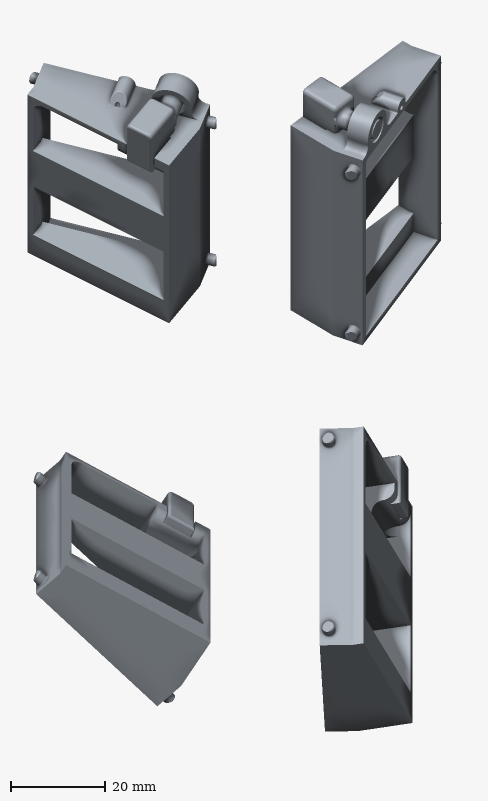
import cadquery as cq
import math

tilt = 15.0
cos_t = math.cos(math.radians(tilt))
sin_t = math.sin(math.radians(tilt))
frame_height = 52.9
front_left = 1.8
front_right = 37.65
rear_left_y = 9.2
rear_length = 37.1
wall = 1.45
slanted_wall = 1.6

recess_depth = 5.7
window_spans = [(6.85, 23.05), (34.9, frame_height - wall)]
left_corner_radius = 2.9
right_corner_radius = 0.95

housing_left = 24.6
housing_back = 11.8
housing_back_radius = 0.7
housing_lip = 1.2
housing_radius = 2.55
rib_back = 7.15
slot_left = 26.9
slot_right = 33.9
slot_floor = 47.9
slot_depth = 6.6

pivot_u = 30.15
pivot_z = 56.05
lug_radius = 4.5
lug_foot_radius = 1.95
lug_depth = 4.95
bore_diameter = 6.0
catch_u = 18.6
catch_radius = 1.9
catch_rise = 0.55
catch_foot_radius = 0.4
catch_length = 6.8
catch_rim_radius = 0.3
catch_hole_diameter = 1.2
catch_hole_rise = 0.2

pin_diameter = 2.6
pin_length = 2.25
pin_root_radius = 0.35
pin_tip_chamfer = 0.25
pin_inset = 1.95
pin_end_margin = 3.45
pin_ramp_drop = 0.8
pin_ramp_start = 0.35

lever_left = 27.1
lever_right = 33.55
lever_front = -0.55
lever_back = 9.15
lever_leg_back = 6.35
lever_bottom = 47.95
lever_top = 60.05
lever_edge_radius = 1.0
lever_front_radius = 0.6
shaft_diameter = 4.5
flare_radius = 0.85
shaft_length = 10.3

ceiling = frame_height - wall
window_left = front_left + wall
window_right = front_right - wall
rear_plane = cq.Plane(origin=(0, rear_left_y, 0), xDir=(cos_t, sin_t, 0), normal=(sin_t, -cos_t, 0))


def rear_point(along, depth):
    """XY point at a distance along the rear face and a depth in front of it."""
    return (along * cos_t + depth * sin_t, rear_left_y + along * sin_t - depth * cos_t)


def depth_at_x(along, x):
    """Depth at which the line square to the rear face at `along` reaches X = x."""
    return (x - along * cos_t) / sin_t


def wedge(left_x, right_x, left_along, right_along, rear_depth, bottom, top):
    """Prism with a plan like the frame's, ending at a depth in front of the rear face."""
    outline = [
        (left_x, 0),
        (right_x, 0),
        rear_point(right_along, depth_at_x(right_along, right_x)),
        rear_point(right_along, rear_depth),
        rear_point(left_along, rear_depth),
        rear_point(left_along, depth_at_x(left_along, left_x)),
    ]
    return cq.Workplane("XY").workplane(offset=bottom).polyline(outline).close().extrude(top - bottom)


def box(x_range, y_range, z_range):
    """Box given by its limits along each axis."""
    size = [high - low for low, high in (x_range, y_range, z_range)]
    return cq.Workplane("XY").box(*size, centered=False).translate((x_range[0], y_range[0], z_range[0]))


def module_recess():
    """Full-height recess in the rear face with two rounded top corners."""
    left = slanted_wall
    right = rear_length - slanted_wall
    return (
        cq.Workplane(rear_plane)
        .moveTo(left, wall)
        .lineTo(right, wall)
        .lineTo(right, ceiling - right_corner_radius)
        .radiusArc((right - right_corner_radius, ceiling), -right_corner_radius)
        .lineTo(left + left_corner_radius, ceiling)
        .radiusArc((left, ceiling - left_corner_radius), -left_corner_radius)
        .close()
        .extrude(recess_depth)
    )


def window(bottom, top):
    """Window from the front face to the recess; the upper one has a rounded left corner."""
    right_along = rear_length - slanted_wall
    opening = wedge(window_left, window_right, slanted_wall, right_along, recess_depth, bottom, top)
    if top == ceiling:
        left_edges = opening.faces(">Z").edges("<<X[-1] or <<X[-2]")
        opening = left_edges.fillet(left_corner_radius)
    return opening


def lever_housing():
    """Corner block with a rounded front edge and a rib hanging below it."""
    r = housing_radius
    round_top = ceiling - housing_lip
    floor = round_top - r
    rib_bottom = floor - r
    embedded_top = frame_height - wall / 2
    block = (
        cq.Workplane("YZ", origin=(housing_left, 0, 0))
        .moveTo(0, embedded_top)
        .lineTo(0, round_top)
        .radiusArc((r, floor), -r)
        .radiusArc((2 * r, rib_bottom), r)
        .lineTo(rib_back, rib_bottom)
        .radiusArc((rib_back + r, floor), r)
        .lineTo(housing_back - housing_back_radius, floor)
        .radiusArc((housing_back, floor + housing_back_radius), -housing_back_radius)
        .lineTo(housing_back, embedded_top)
        .close()
        .extrude(window_right - housing_left)
    )
    cove_x = window_right - r
    cove = box((cove_x, window_right), (r, 2 * r), (rib_bottom, floor)).cut(
        cq.Workplane("XY", origin=(cove_x, r, rib_bottom)).circle(r).extrude(r)
    )
    return block.union(cove)


def lever_slot():
    """Slot through the housing, open through the top wall near the front only."""
    sides = (slot_left, slot_right)
    through = box(sides, (0, housing_back), (slot_floor, ceiling))
    return through.union(box(sides, (0, slot_depth), (slot_floor, frame_height)))


def pivot_lug():
    """Round-headed lug on the top face with concave feet, running forward from the rear face."""
    rise = pivot_z - frame_height
    center_gap = lug_radius + lug_foot_radius
    half_width = math.sqrt(center_gap ** 2 - (rise - lug_foot_radius) ** 2)
    tangent_u = half_width * lug_radius / center_gap
    tangent_z = rise + (lug_foot_radius - rise) * lug_radius / center_gap
    return (
        cq.Workplane(rear_plane)
        .center(pivot_u, frame_height)
        .moveTo(-half_width, 0)
        .radiusArc((-tangent_u, tangent_z), -lug_foot_radius)
        .threePointArc((0, rise + lug_radius), (tangent_u, tangent_z))
        .radiusArc((half_width, 0), -lug_foot_radius)
        .close()
        .extrude(lug_depth)
    )


def pivot_bore():
    """Clearance hole for the lever shaft."""
    return cq.Workplane(rear_plane).center(pivot_u, pivot_z).circle(bore_diameter / 2).extrude(lug_depth)


def catch():
    """Half-round catch whose front end slopes down at 45 degrees to a rounded rim."""
    axis_z = frame_height + catch_rise
    boss = cq.Workplane(rear_plane).center(catch_u, axis_z).circle(catch_radius).extrude(catch_length)
    height = catch_radius + catch_rise
    slope_plane = cq.Plane(
        origin=rear_plane.toWorldCoords((catch_u, frame_height, 0)).toTuple(),
        xDir=(sin_t, -cos_t, 0),
        normal=(-cos_t, -sin_t, 0),
    )
    slope = (
        cq.Workplane(slope_plane)
        .polyline([
            (catch_length + height, -height),
            (catch_length + height, height),
            (catch_length - height, height),
        ])
        .close()
        .extrude(2 * catch_radius, both=True)
    )
    boss = boss.cut(slope)
    slope_direction = cq.Vector(sin_t, -cos_t, 1)
    rim = boss.faces(cq.selectors.DirectionMinMaxSelector(slope_direction)).edges(">Z")
    return rim.fillet(catch_rim_radius)


def with_catch(frame):
    """Frame with the catch joined to its top face by a filleted foot."""
    joined = frame.union(catch())
    reach = 2 * catch_radius
    right_x, rear_y = rear_point(catch_u + reach, 0)
    left_x, front_y = rear_point(catch_u - reach, catch_length + reach)
    footprint = cq.selectors.BoxSelector(
        (left_x - reach, front_y, frame_height - catch_rim_radius),
        (right_x + reach, rear_y, frame_height + catch_rim_radius),
        boundingbox=True,
    )
    return joined.edges(footprint).fillet(catch_foot_radius)


def catch_hole():
    """Hole along the catch that opens as a notch in its sloping end."""
    return (
        cq.Workplane(rear_plane)
        .center(catch_u, frame_height + catch_hole_rise)
        .circle(catch_hole_diameter / 2)
        .extrude(catch_length)
    )


def side_pin(along, side, z):
    """Pin on the left (-1) or right (1) slanted side, with a ramp on the rear of its tip."""
    x, y = rear_point(along, pin_inset)
    radius = pin_diameter / 2
    profile_plane = cq.Plane(origin=(x, y, z), xDir=(sin_t, -cos_t, 0), normal=(0, 0, 1))
    pin = (
        cq.Workplane(profile_plane)
        .lineTo(radius + pin_root_radius, 0)
        .radiusArc((radius, side * pin_root_radius), side * pin_root_radius)
        .lineTo(radius, side * (pin_length - pin_tip_chamfer))
        .lineTo(radius - pin_tip_chamfer, side * pin_length)
        .lineTo(0, side * pin_length)
        .close()
        .revolve(360, (0, 0, 0), (0, 1, 0))
    )
    ramp = (
        cq.Workplane(profile_plane)
        .polyline([
            (pin_ramp_start, side * pin_length),
            (-radius, side * pin_length),
            (-radius, side * (pin_length - pin_ramp_drop)),
        ])
        .close()
        .extrude(radius, both=True)
    )
    return pin.cut(ramp)


def make_frame():
    """Wedge frame with its windows, lever housing, catch, lug and side pins."""
    frame = wedge(front_left, front_right, 0, rear_length, 0, 0, frame_height)
    frame = frame.cut(module_recess())
    for bottom, top in window_spans:
        frame = frame.cut(window(bottom, top))
    frame = frame.union(lever_housing()).cut(lever_slot())
    frame = with_catch(frame).cut(catch_hole())
    frame = frame.union(pivot_lug()).cut(pivot_bore())
    for along, side in [(0, -1), (rear_length, 1)]:
        for z in (pin_end_margin, frame_height - pin_end_margin):
            frame = frame.union(side_pin(along, side, z))
    return frame


def pivot_shaft():
    """Shaft along the bore axis, flared onto the back of the lever head and no wider than it."""
    shaft = cq.Workplane(rear_plane).center(pivot_u, pivot_z).circle(shaft_diameter / 2).extrude(shaft_length)
    base = box((0, front_right), (lever_front, lever_back), (0, pivot_z + frame_height))
    flared = base.union(shaft).edges("%ELLIPSE").fillet(flare_radius)
    sides = (lever_left, lever_right)
    heights = (frame_height, lever_top)
    behind_head = box(sides, (lever_back, rear_length), heights)
    in_head = box(sides, (lever_front, lever_back), heights)
    return flared.intersect(behind_head).union(shaft.intersect(in_head))


def make_lever():
    """Lever with a head on the top face, a leg in the slot and a shaft in the lug."""
    sides = (lever_left, lever_right)
    head = box(sides, (lever_front, lever_back), (frame_height, lever_top))
    head = head.edges("(>Z and (<X or >X)) or (>Y and (|Z or >Z))").fillet(lever_edge_radius)
    leg = box(sides, (lever_front, lever_leg_back), (lever_bottom, frame_height))
    lever = head.union(leg)
    lever = lever.faces("<Y").edges().fillet(lever_front_radius)
    return lever.union(pivot_shaft())


frame = make_frame()
lever = make_lever()
result = cq.Compound.makeCompound([frame.solids().val(), lever.solids().val()])